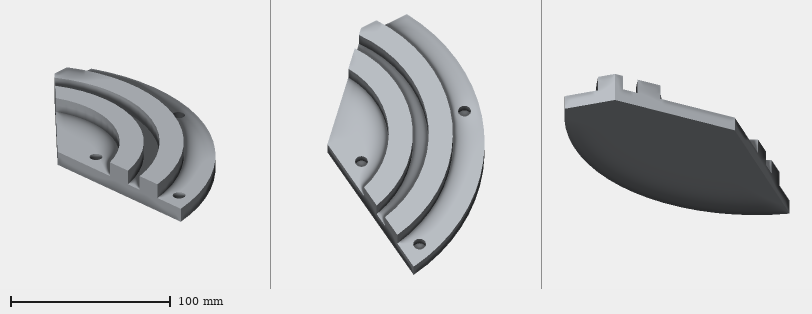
import cadquery as cq
import math

base_thickness = 9.3
wall_height = 9.8
plate_radius = 120.0
front_edge_y = 18.0
plate_length = 165.6
left_edge_x = math.sqrt(plate_radius**2 - front_edge_y**2) - plate_length
slant_sum = 30.0
wall_radii = [(60.0, 75.0), (85.0, 100.0)]
hole_diameter = 8.0
hole_depth = 5.0
hole_near_x = 34.0
hole_near_y = 29.8
hole_far_x = 105.8
hole_far_y = 104.5


def sector_outline(radius, height):
    """Disc trimmed by the front, left and slanted edges of the plate."""
    right_end = (math.sqrt(radius**2 - front_edge_y**2), front_edge_y)
    left_end = (left_edge_x, math.sqrt(radius**2 - left_edge_x**2))
    return (
        cq.Workplane("XY")
        .moveTo(slant_sum - front_edge_y, front_edge_y)
        .lineTo(*right_end)
        .threePointArc((0, radius), left_end)
        .lineTo(left_edge_x, slant_sum - left_edge_x)
        .close()
        .extrude(height)
    )


def curved_wall(inner_radius, outer_radius):
    """Ring segment standing on the base, trimmed flush with the plate edges."""
    total_height = base_thickness + wall_height
    ring = (
        cq.Workplane("XY")
        .circle(outer_radius)
        .circle(inner_radius)
        .extrude(total_height)
    )
    return ring.intersect(sector_outline(plate_radius, total_height))


result = sector_outline(plate_radius, base_thickness)
for inner_radius, outer_radius in wall_radii:
    result = result.union(curved_wall(inner_radius, outer_radius))

hole_centres = [
    (hole_near_x, hole_near_y),
    (hole_near_x, hole_far_y),
    (hole_far_x, hole_near_y),
]
holes = (
    cq.Workplane("XY")
    .workplane(offset=base_thickness - hole_depth)
    .pushPoints(hole_centres)
    .circle(hole_diameter / 2)
    .extrude(hole_depth)
)
result = result.cut(holes)